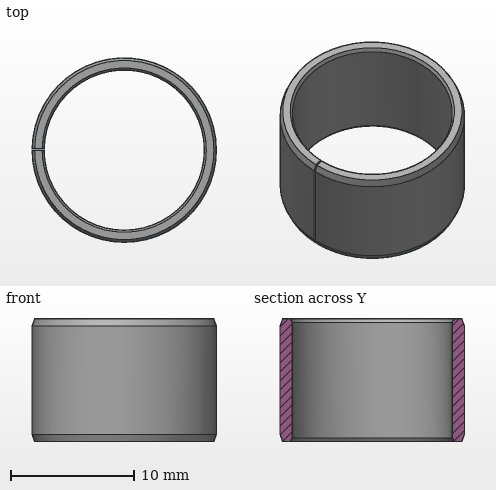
import cadquery as cq
import math

outer_radius = 7.5
wall = 1.0
length = 10.0
inner_radius = outer_radius - wall
half_length = length / 2

outer_chamfer_length = 0.6
outer_chamfer_angle = 20.0
inner_chamfer_length = 0.3
inner_chamfer_angle = 30.0

slit_angle = 1.0


def chamfer_depth(axial_length, angle):
    """Radial depth of a chamfer with the given axial length and angle from the axis."""
    return axial_length * math.tan(math.radians(angle))


def sleeve():
    """Sleeve made by revolving its chamfered wall section about Z."""
    rim_outer_radius = outer_radius - chamfer_depth(outer_chamfer_length, outer_chamfer_angle)
    rim_inner_radius = inner_radius + chamfer_depth(inner_chamfer_length, inner_chamfer_angle)
    outer_wall_end = half_length - outer_chamfer_length
    inner_wall_end = half_length - inner_chamfer_length
    section = [
        (inner_radius, -inner_wall_end),
        (rim_inner_radius, -half_length),
        (rim_outer_radius, -half_length),
        (outer_radius, -outer_wall_end),
        (outer_radius, outer_wall_end),
        (rim_outer_radius, half_length),
        (rim_inner_radius, half_length),
        (inner_radius, inner_wall_end),
    ]
    return cq.Workplane("XZ").polyline(section).close().revolve(360, (0, 0), (0, 1))


def slit_cutter():
    """Triangular prism with its tip on the axis, reaching past the wall and both rims."""
    reach = 2 * outer_radius
    opening = reach * math.tan(math.radians(slit_angle))
    wedge = [(0, 0), (-reach, 0), (-reach, opening)]
    return cq.Workplane("XY").polyline(wedge).close().extrude(length, both=True)


result = sleeve().cut(slit_cutter())